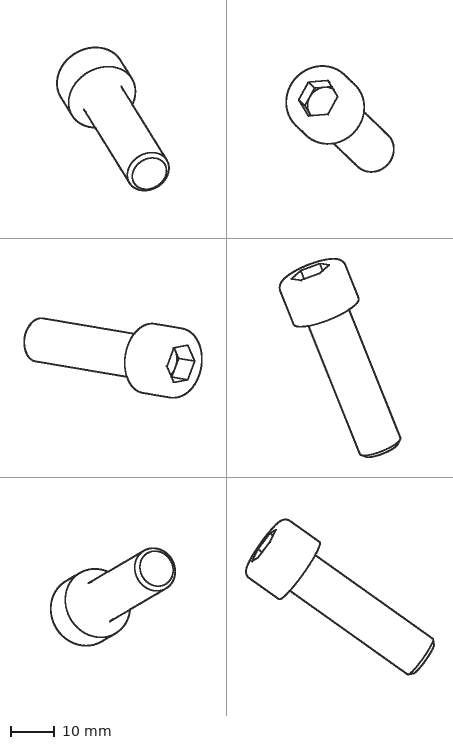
import cadquery as cq
import math

total_length = 45.0
head_diameter = 16.0
head_length = 10.0
head_rim_radius = 1.58
shank_diameter = 10.0
neck_radius = 0.4
tip_chamfer = 0.9
socket_width = 8.0
socket_depth = 5.0
socket_cone_angle = 120.0

head_radius = head_diameter / 2
shank_radius = shank_diameter / 2


def make_body():
    """Head and shank as one revolved profile, with the neck fillet as an arc."""
    neck_centre = (head_length + neck_radius, shank_radius + neck_radius)
    arc_reach = neck_radius * math.sqrt(0.5)
    neck_middle = (neck_centre[0] - arc_reach, neck_centre[1] - arc_reach)
    rim_middle_inset = head_rim_radius * (1 - math.sqrt(0.5))
    profile = (
        cq.Workplane("XY")
        .lineTo(0, head_radius - head_rim_radius)
        .threePointArc(
            (rim_middle_inset, head_radius - rim_middle_inset),
            (head_rim_radius, head_radius),
        )
        .lineTo(head_length, head_radius)
        .lineTo(head_length, neck_centre[1])
        .threePointArc(neck_middle, (neck_centre[0], shank_radius))
        .lineTo(total_length - tip_chamfer, shank_radius)
        .lineTo(total_length, shank_radius - tip_chamfer)
        .lineTo(total_length, 0)
        .close()
    )
    return profile.revolve(360, (0, 0, 0), (1, 0, 0))


def make_socket():
    """Hexagonal socket, corners towards +Y and -Y, ending in a drilled cone."""
    across_corners = socket_width / math.cos(math.pi / 6)
    hexagon = cq.Workplane("YZ").polygon(6, across_corners).extrude(socket_depth)
    cone_radius = socket_width / 2
    cone_depth = cone_radius / math.tan(math.radians(socket_cone_angle / 2))
    cone = cq.Workplane(
        cq.Solid.makeCone(
            cone_radius, 0, cone_depth, cq.Vector(socket_depth, 0, 0), cq.Vector(1, 0, 0)
        )
    )
    return hexagon.union(cone)


result = make_body().cut(make_socket())